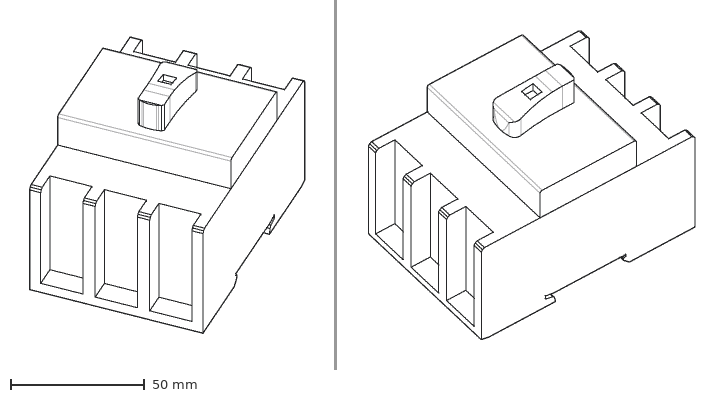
import cadquery as cq


width = 70.0
length = 100.0
housing_height = 48.6
housing_bevel = 1.5
housing_bevel_mid = 0.6
foot_ramp_length = 3.5
foot_ramp_height = 0.8

pockets_per_end = 3
pocket_width = 17.0
pocket_depth = 9.0
pocket_floor = 4.3
rib_width = 5.0

channel_ceiling = 5.0
fixed_wall_y = -17.6
fixed_lip_y = -16.5
fixed_lip_top = 4.0
fixed_lip_bottom = 2.6
fixed_lip_corner = 0.4
fixed_lip_foot_y = -19.2
hook_wall_y = 20.0
hook_roof_end_y = 16.2
hook_wall_top = 5.8
hook_wall_bottom = 4.2
hook_shoulder = (16.5, 3.3)
hook_tip = (15.7, 2.4)
hook_foot_y = 15.2

cover_length = 45.0
cover_height = 14.0
cover_edge_radius = 1.0

handle_height = 12.0
handle_half_width = 5.25
handle_head_half_width = 7.15
handle_front_y = -16.5
handle_front_bulge = 0.6
handle_front_corner = 0.8
handle_front_facet_outer = (3.4, 0.25)
handle_front_facet_inner = (2.55, 0.4)
handle_waist_y = -10.3
handle_head_y = 10.5
handle_flank_mid_offset = 0.4
handle_back_y = 14.8
handle_back_corner = (4.6, 14.2)
handle_back_corner_mid = (6.65, 12.9)
handle_front_edge_drop = 0.3
handle_crown_start = (-5.6, 0.2)
handle_crown_mid = (4.5, 1.6)
handle_crown_end = (13.0, 3.8)
handle_brow_mid = (13.8, 4.25)
handle_brow_end = (14.2, 5.1)
window_size = 5.4
window_depth = 4.0

cover_top = housing_height + cover_height
handle_top = cover_top + handle_height


def make_housing():
    """Block with two-facet bevels on its top ends, a rail channel and end pockets."""
    end_y = length / 2
    bevel_y = end_y - housing_bevel
    bevel_z = housing_height - housing_bevel
    bevel_mid_y = end_y - housing_bevel_mid
    bevel_mid_z = housing_height - housing_bevel_mid
    housing = (
        cq.Workplane("YZ")
        .moveTo(-end_y, 0)
        .lineTo(end_y - foot_ramp_length, 0)
        .lineTo(end_y, foot_ramp_height)
        .lineTo(end_y, bevel_z)
        .lineTo(bevel_mid_y, bevel_mid_z)
        .lineTo(bevel_y, housing_height)
        .lineTo(-bevel_y, housing_height)
        .lineTo(-bevel_mid_y, bevel_mid_z)
        .lineTo(-end_y, bevel_z)
        .close()
        .extrude(width / 2, both=True)
    )

    channel = (
        cq.Workplane("YZ")
        .moveTo(hook_foot_y, 0)
        .lineTo(*hook_tip)
        .lineTo(*hook_shoulder)
        .lineTo(hook_wall_y, hook_wall_bottom)
        .lineTo(hook_wall_y, hook_wall_top)
        .lineTo(hook_roof_end_y, channel_ceiling)
        .lineTo(fixed_wall_y, channel_ceiling)
        .lineTo(fixed_wall_y, fixed_lip_top)
        .lineTo(fixed_lip_y - fixed_lip_corner, fixed_lip_top)
        .lineTo(fixed_lip_y, fixed_lip_top - fixed_lip_corner)
        .lineTo(fixed_lip_y, fixed_lip_bottom)
        .lineTo(fixed_lip_foot_y, 0)
        .close()
        .extrude(width / 2, both=True)
    )
    housing = housing.cut(channel)

    pocket_pitch = pocket_width + rib_width
    pocket = cq.Workplane("XY").box(
        pocket_width, pocket_depth, housing_height - pocket_floor, centered=(True, True, False)
    )
    for end in (-1, 1):
        pocket_y = end * (length - pocket_depth) / 2
        for index in range(pockets_per_end):
            pocket_x = (index - (pockets_per_end - 1) / 2) * pocket_pitch
            housing = housing.cut(pocket.translate((pocket_x, pocket_y, pocket_floor)))
    return housing


def make_cover():
    """Full-width block with its two long top edges rounded."""
    return (
        cq.Workplane("XY", origin=(0, 0, housing_height))
        .box(width, cover_length, cover_height, centered=(True, True, False))
        .edges("|X and >Z")
        .fillet(cover_edge_radius)
    )


def make_handle():
    """Flared plan outline, trimmed by a falling side profile, with a square window."""
    front_tip_y = handle_front_y - handle_front_bulge
    corner_x = handle_half_width - handle_front_corner
    corner_y = handle_front_y + handle_front_corner
    outer_x, outer_bulge = handle_front_facet_outer
    outer_y = handle_front_y - outer_bulge
    inner_x, inner_bulge = handle_front_facet_inner
    inner_y = handle_front_y - inner_bulge
    flank_mid = (
        handle_half_width + handle_flank_mid_offset,
        (handle_waist_y + handle_head_y) / 2,
    )
    back_x, back_y = handle_back_corner
    corner_mid_x, corner_mid_y = handle_back_corner_mid
    flank_mid_x, flank_mid_y = flank_mid
    plan = (
        cq.Workplane("XY", origin=(0, 0, cover_top))
        .moveTo(-corner_x, handle_front_y)
        .lineTo(-outer_x, outer_y)
        .lineTo(-inner_x, inner_y)
        .threePointArc((0, front_tip_y), (inner_x, inner_y))
        .lineTo(outer_x, outer_y)
        .lineTo(corner_x, handle_front_y)
        .lineTo(handle_half_width, corner_y)
        .lineTo(handle_half_width, handle_waist_y)
        .threePointArc(flank_mid, (handle_head_half_width, handle_head_y))
        .threePointArc(handle_back_corner_mid, handle_back_corner)
        .threePointArc((0, handle_back_y), (-back_x, back_y))
        .threePointArc((-corner_mid_x, corner_mid_y), (-handle_head_half_width, handle_head_y))
        .threePointArc((-flank_mid_x, flank_mid_y), (-handle_half_width, handle_waist_y))
        .lineTo(-handle_half_width, corner_y)
        .close()
        .extrude(handle_height)
    )

    def below_top(point):
        y, drop = point
        return (y, handle_top - drop)

    profile = (
        cq.Workplane("YZ")
        .moveTo(front_tip_y, cover_top)
        .lineTo(front_tip_y, handle_top - handle_front_edge_drop)
        .lineTo(handle_front_y, handle_top)
        .lineTo(handle_waist_y, handle_top)
        .lineTo(*below_top(handle_crown_start))
        .threePointArc(below_top(handle_crown_mid), below_top(handle_crown_end))
        .threePointArc(below_top(handle_brow_mid), below_top(handle_brow_end))
        .lineTo(handle_back_y, cover_top)
        .close()
        .extrude(width / 2, both=True)
    )

    window = cq.Workplane("XY", origin=(0, 0, handle_top - window_depth)).box(
        window_size, window_size, window_depth, centered=(True, True, False)
    )
    return plan.intersect(profile).cut(window)


housing = make_housing()
cover = make_cover()
handle = make_handle()

result = cq.Compound.makeCompound([housing.val(), cover.val(), handle.val()])